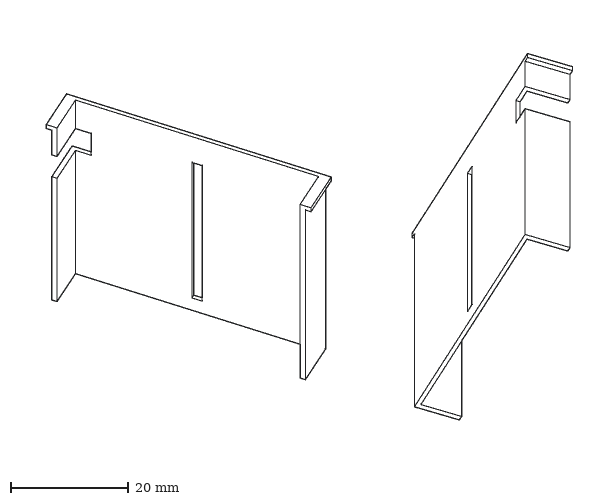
import cadquery as cq

width = 49.7
depth = 8.4
height = 41.0

plate_thickness = 0.8
wall_thickness = 1.0
lip_overhang = 1.05
lip_height = 0.95
body_width = width - 2 * lip_overhang

slot_width = 1.95
slot_bottom = 2.95
slot_length = 31.95

notch_reach = 4.95
notch_bottom = 29.1
notch_height = 5.1


def block(size_x, size_y, size_z, x, y, z):
    """Box centred on x, starting at y and z."""
    return cq.Workplane("XY").box(size_x, size_y, size_z, centered=(True, False, False)).translate((x, y, z))


body = block(body_width, depth, height, 0, 0, 0)
inner_width = body_width - 2 * wall_thickness
body = body.cut(block(inner_width, depth - plate_thickness, height, 0, 0, 0))

lip_center = (body_width + lip_overhang) / 2
for side in (-1, 1):
    body = body.union(block(lip_overhang, depth, lip_height, side * lip_center, 0, height - lip_height))

slot = block(slot_width, depth, slot_length, 0, 0, slot_bottom)
notch = block(notch_reach, depth, notch_height, (notch_reach - width) / 2, 0, notch_bottom)

result = body.cut(slot).cut(notch)